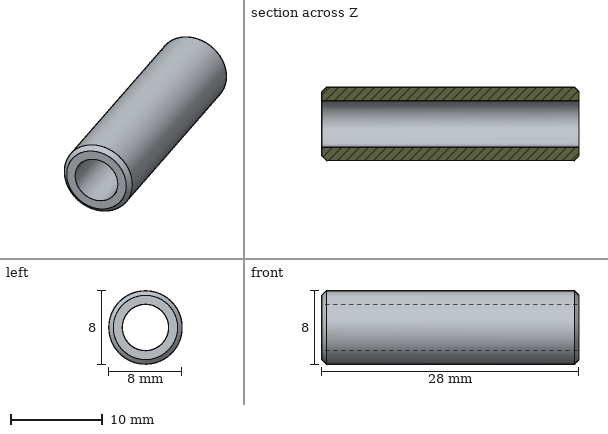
import cadquery as cq

length = 28.0
outer_diameter = 8.0
bore_diameter = 5.0
rim_chamfer = 0.5

sleeve = cq.Workplane("YZ").circle(outer_diameter / 2).extrude(length)
sleeve = sleeve.faces("<X or >X").edges().chamfer(rim_chamfer)

bore = cq.Workplane("YZ").circle(bore_diameter / 2).extrude(length)

result = sleeve.cut(bore)